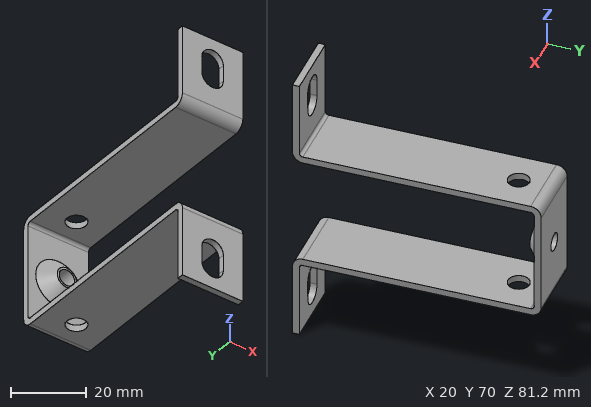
import cadquery as cq

width = 20.0
depth = 70.0
height = 81.25
thickness = 2.0
inner_bend_radius = 1.0
outer_bend_radius = inner_bend_radius + thickness
channel_height = 35.5

slot_length = 12.0
slot_width = 7.0
slot_end_offset = 9.75

arm_hole_diameter = 6.0
arm_hole_offset = 10.0

boss_base_diameter = 14.95
boss_tip_diameter = 6.3
boss_height = 3.7
boss_hole_diameter = 5.0

half_depth = depth / 2
half_height = height / 2
half_channel = channel_height / 2
web_inner_y = half_depth - thickness
flange_inner_y = -half_depth + thickness
arm_inner_z = half_channel - thickness
slot_z = half_height - slot_end_offset


def make_block(y_start, y_end, z_start, z_end):
    """Full-width block spanning the given Y and Z limits."""
    centre = (0, (y_start + y_end) / 2, (z_start + z_end) / 2)
    return cq.Workplane("XY").box(width, y_end - y_start, z_end - z_start).translate(centre)


def make_strip():
    """Hat-shaped strip: a web at +Y, two arms and two flanges at -Y."""
    hat = make_block(-half_depth, half_depth, -half_channel, half_channel)
    hat = hat.union(make_block(-half_depth, flange_inner_y, -half_height, half_height))
    hat = hat.edges("|X and >Y").fillet(outer_bend_radius)
    notch_corners = cq.selectors.BoxSelector(
        (-width, flange_inner_y - thickness / 2, -half_height + thickness),
        (width, flange_inner_y + thickness / 2, half_height - thickness),
    )
    hat = hat.edges("|X").edges(notch_corners).fillet(inner_bend_radius)

    opening = make_block(-half_depth, web_inner_y, -arm_inner_z, arm_inner_z)
    opening = opening.edges("|X and >Y").fillet(inner_bend_radius)
    strip = hat.cut(opening)
    flared_corners = cq.selectors.BoxSelector(
        (-width, -half_depth - thickness / 2, -half_channel),
        (width, -half_depth + thickness / 2, half_channel),
    )
    return strip.edges("|X").edges(flared_corners).fillet(outer_bend_radius)


def make_boss():
    """Cone standing on the inner face of the web, pointing toward -Y."""
    return cq.Workplane(
        cq.Solid.makeCone(
            boss_base_diameter / 2,
            boss_tip_diameter / 2,
            boss_height,
            cq.Vector(0, web_inner_y, 0),
            cq.Vector(0, -1, 0),
        )
    )


def make_slots():
    """Cutters for the upright slots in the flanges."""
    return (
        cq.Workplane("XZ", origin=(0, flange_inner_y, 0))
        .pushPoints([(0, slot_z), (0, -slot_z)])
        .slot2D(slot_length, slot_width, 90)
        .extrude(thickness)
    )


def make_arm_holes():
    """Cutter for the aligned holes through both arms."""
    return (
        cq.Workplane("XY", origin=(0, half_depth - arm_hole_offset, -half_channel))
        .circle(arm_hole_diameter / 2)
        .extrude(channel_height)
    )


def make_boss_hole():
    """Cutter for the straight hole through the web and its boss."""
    return (
        cq.Workplane("XZ", origin=(0, half_depth, 0))
        .circle(boss_hole_diameter / 2)
        .extrude(thickness + boss_height)
    )


result = make_strip().union(make_boss())
result = result.cut(make_slots()).cut(make_arm_holes()).cut(make_boss_hole())